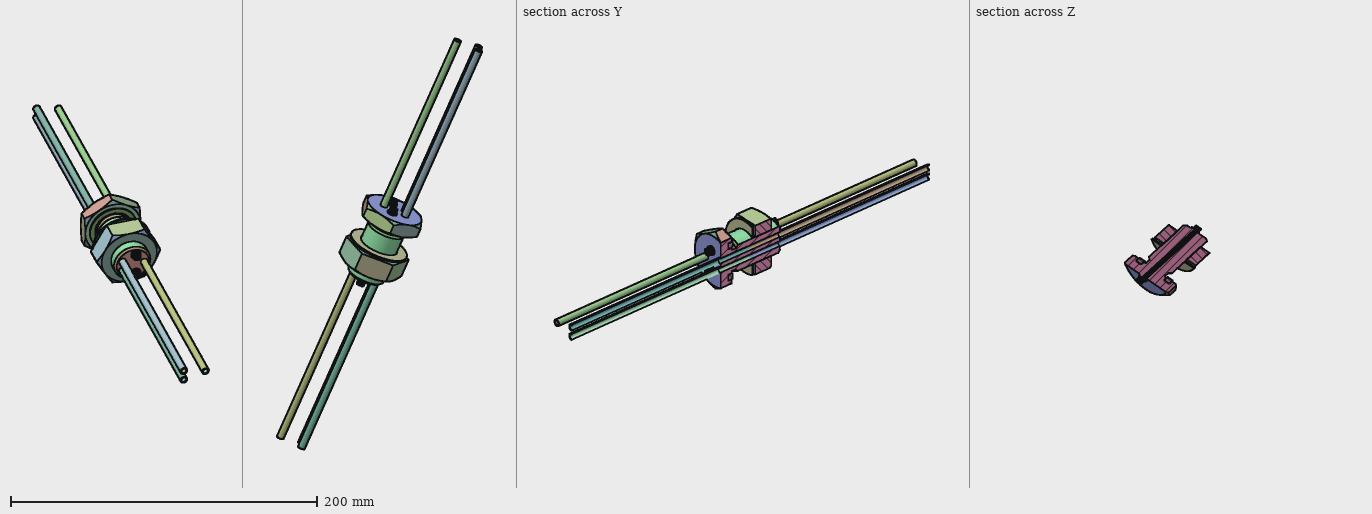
import cadquery as cq
import math


HEX_ACROSS_FLATS = 38.1
HEX_ACROSS_CORNERS = HEX_ACROSS_FLATS / math.cos(math.pi / 6)
HEX_CHAMFER_CIRCLE = 38.0
HEX_CHAMFER_ANGLE = 30
CUTTER_MARGIN = 1
HEAD_TURN = 90
NUT_TURN = 0

HOUSING_LENGTH = 50.8
HEAD_THICKNESS = 9.53
HEAD_START = -HOUSING_LENGTH / 2
SEAT = HEAD_START + HEAD_THICKNESS
HOUSING_END = HOUSING_LENGTH / 2
THREAD_DIAMETER = 25.2
RELIEF_DIAMETER = 22.22
RELIEF_LENGTH = 3.6
THREAD_CHAMFER = (THREAD_DIAMETER - RELIEF_DIAMETER) / 2

RING_OUTER_DIAMETER = 32.0
RING_BORE = 25.0
RING_STAND_OUT = 0.9
GROOVE_DEPTH = 2.6
GROOVE_FLOOR = SEAT - GROOVE_DEPTH

WASHER_OUTER_DIAMETER = 39.62
WASHER_BORE = 25.78
WASHER_START = 1.4
WASHER_THICKNESS = 1.2

NUT_START = 3.9
NUT_THICKNESS = 14.0

SLEEVE_LENGTH = 304.8
SLEEVE_OUTER_DIAMETER = 4.83
SLEEVE_BORE = 3.3
SINGLE_SLEEVE_Y = 7.7
PAIR_SLEEVE_Y = -7.2
PAIR_SLEEVE_Z = 3.55
SLEEVE_CENTERS = [
    (SINGLE_SLEEVE_Y, 0),
    (PAIR_SLEEVE_Y, PAIR_SLEEVE_Z),
    (PAIR_SLEEVE_Y, -PAIR_SLEEVE_Z),
]

BUNDLE_LENGTH = 58.4
BUNDLE_Y = 1.9
BUNDLE_Z = 7.4
BUNDLE_CENTERS = [(BUNDLE_Y, BUNDLE_Z), (BUNDLE_Y, -BUNDLE_Z)]
COLLAR_DIAMETER = 6.35
COLLAR_STAND_OUT = 1.0
COLLAR_LENGTH = HOUSING_LENGTH + 2 * COLLAR_STAND_OUT
STRAND_OUTER_DIAMETER = 1.52
STRAND_BORE = 0.84
STRAND_RING_RADIUS = 1.8
OUTER_STRANDS = 7


def cylinder_between(start, end, diameter):
    """Solid cylinder on the X axis."""
    return cq.Workplane("YZ", origin=(start, 0, 0)).circle(diameter / 2).extrude(end - start)


def tube_between(start, end, outer_diameter, bore):
    """Round tube on the X axis."""
    return cylinder_between(start, end, outer_diameter).cut(cylinder_between(start, end, bore))


def cylinders_at(centers, diameter, length):
    """Cylinders along X at (y, z) centres, reaching equally far to both sides of the YZ plane."""
    return cq.Workplane("YZ").pushPoints(centers).circle(diameter / 2).extrude(length / 2, both=True)


def hexagon(start, thickness, turn, chamfer_start, chamfer_end):
    """Hexagonal prism along X whose corners are cut by cones on the chosen ends."""
    end = start + thickness
    prism = (
        cq.Workplane("YZ", origin=(start, 0, 0))
        .polygon(6, HEX_ACROSS_CORNERS)
        .extrude(thickness)
        .rotate((0, 0, 0), (1, 0, 0), turn)
    )
    face_radius = HEX_CHAMFER_CIRCLE / 2
    outer_radius = HEX_ACROSS_CORNERS / 2 + CUTTER_MARGIN
    cone_length = (outer_radius - face_radius) * math.tan(math.radians(HEX_CHAMFER_ANGLE))
    start_radius = face_radius if chamfer_start else outer_radius
    end_radius = face_radius if chamfer_end else outer_radius
    envelope = (
        cq.Workplane("XY")
        .moveTo(start, 0)
        .lineTo(start, start_radius)
        .lineTo(start + cone_length, outer_radius)
        .lineTo(end - cone_length, outer_radius)
        .lineTo(end, end_radius)
        .lineTo(end, 0)
        .close()
        .revolve(360, (0, 0, 0), (1, 0, 0))
    )
    return prism.intersect(envelope)


def barrel():
    """Threaded barrel with a relief behind the head and a chamfer at each end of the thread."""
    relief_radius = RELIEF_DIAMETER / 2
    thread_radius = THREAD_DIAMETER / 2
    relief_end = SEAT + RELIEF_LENGTH
    return (
        cq.Workplane("XY")
        .moveTo(GROOVE_FLOOR, 0)
        .lineTo(GROOVE_FLOOR, relief_radius)
        .lineTo(relief_end, relief_radius)
        .lineTo(relief_end + THREAD_CHAMFER, thread_radius)
        .lineTo(HOUSING_END - THREAD_CHAMFER, thread_radius)
        .lineTo(HOUSING_END, thread_radius - THREAD_CHAMFER)
        .lineTo(HOUSING_END, 0)
        .close()
        .revolve(360, (0, 0, 0), (1, 0, 0))
    )


def strand_centers():
    """One strand in the middle of each bundle and a ring of strands around it."""
    centers = []
    for y, z in BUNDLE_CENTERS:
        centers.append((y, z))
        for i in range(OUTER_STRANDS):
            angle = 2 * math.pi * (i + 0.5) / OUTER_STRANDS
            strand_y = y + STRAND_RING_RADIUS * math.cos(angle)
            strand_z = z + STRAND_RING_RADIUS * math.sin(angle)
            centers.append((strand_y, strand_z))
    return centers


def make_housing():
    """Hex head, barrel and all wire sleeves, potted together as one solid."""
    groove = tube_between(GROOVE_FLOOR, SEAT, RING_OUTER_DIAMETER, RING_BORE)
    head = hexagon(HEAD_START, HEAD_THICKNESS, HEAD_TURN, chamfer_start=True, chamfer_end=True)
    strands = strand_centers()
    return (
        head.cut(groove)
        .union(barrel())
        .union(cylinders_at(BUNDLE_CENTERS, COLLAR_DIAMETER, COLLAR_LENGTH))
        .union(cylinders_at(strands, STRAND_OUTER_DIAMETER, BUNDLE_LENGTH))
        .union(cylinders_at(SLEEVE_CENTERS, SLEEVE_OUTER_DIAMETER, SLEEVE_LENGTH))
        .cut(cylinders_at(strands, STRAND_BORE, BUNDLE_LENGTH))
        .cut(cylinders_at(SLEEVE_CENTERS, SLEEVE_BORE, SLEEVE_LENGTH))
    )


def make_ring():
    """Sealing ring that fills its groove and stands out from the seat."""
    return tube_between(GROOVE_FLOOR, SEAT + RING_STAND_OUT, RING_OUTER_DIAMETER, RING_BORE)


def make_washer():
    """Flat washer, loose on the thread."""
    washer_end = WASHER_START + WASHER_THICKNESS
    return tube_between(WASHER_START, washer_end, WASHER_OUTER_DIAMETER, WASHER_BORE)


def make_nut():
    """Hex nut, chamfered on the end away from the washer."""
    blank = hexagon(NUT_START, NUT_THICKNESS, NUT_TURN, chamfer_start=False, chamfer_end=True)
    return blank.cut(cylinder_between(NUT_START, NUT_START + NUT_THICKNESS, THREAD_DIAMETER))


housing = make_housing()
ring = make_ring()
washer = make_washer()
nut = make_nut()

result = cq.Compound.makeCompound([housing.val(), ring.val(), washer.val(), nut.val()])